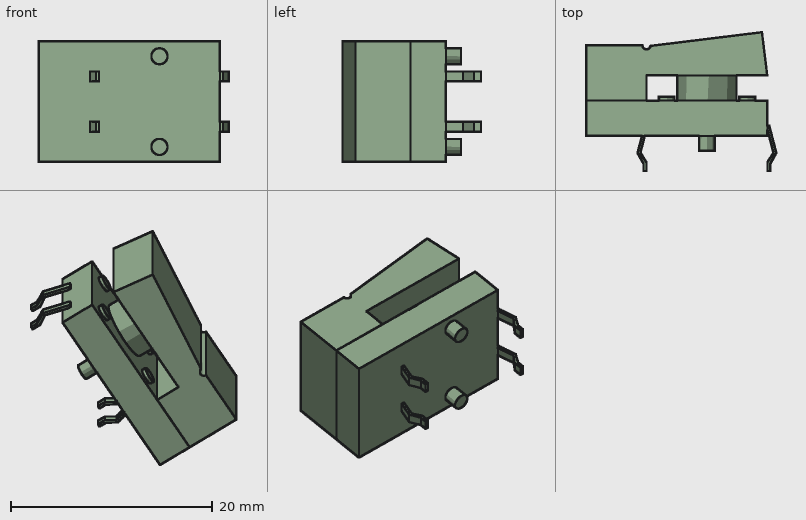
import cadquery as cq
import math


length = 18.0
width = 12.0
base_thickness = 3.5
base_bottom = -base_thickness

hinge_length = 6.0
gap_height = 2.5
hinge_height = 5.5
lever_peak = 6.8
lever_angle = math.radians(7.0)
groove_radius = 0.4

plunger_diameter = 5.9
plunger_x = (hinge_length + length) / 2
rivet_diameter = 1.6
rivet_height = 0.4
rivet_offset = 4.0
peg_diameter = 1.6
peg_length = 1.5
peg_offset_z = 4.5

terminal_width = 1.0
terminal_thickness = 0.3
terminal_offset_x = (length - hinge_length) / 2
terminal_offset_z = 2.5
terminal_reach = 3.5
terminal_bulge = 0.9
terminal_root_height = 1.0
terminal_root_inset = 0.1
knee_depth = 1.7
foot_bend_depth = 2.7
foot_bend_shift = 0.08


def side_cylinder(x, z, start_y, diameter, extent):
    """Cylinder along Y, from start_y over a signed extent."""
    direction = cq.Vector(0, math.copysign(1, extent), 0)
    return cq.Workplane(
        cq.Solid.makeCylinder(diameter / 2, abs(extent), cq.Vector(x, start_y, z), direction)
    )


def make_terminal(side, z):
    """Bent strip on one side (+1 or -1) of the plunger axis, centred at z."""
    foot_inner = terminal_offset_x
    foot_outer = foot_inner + terminal_thickness
    knee_outer = foot_inner + terminal_bulge
    knee_inner = knee_outer - terminal_thickness
    root_inner = foot_inner - terminal_root_inset
    root_outer = root_inner + terminal_thickness
    outline = [
        (root_inner, terminal_root_height),
        (root_outer, terminal_root_height),
        (knee_outer, -knee_depth),
        (foot_outer, -foot_bend_depth - foot_bend_shift),
        (foot_outer, -terminal_reach),
        (foot_inner, -terminal_reach),
        (foot_inner, -foot_bend_depth + foot_bend_shift),
        (knee_inner, -knee_depth),
    ]
    points = [(plunger_x + side * u, base_bottom + v) for u, v in outline]
    return (
        cq.Workplane("XY", origin=(0, 0, z - terminal_width / 2))
        .polyline(points)
        .close()
        .extrude(terminal_width)
    )


def make_base():
    """Base slab with plunger, rivets, locating pegs and terminals."""
    base = cq.Workplane("XY").box(length, base_thickness, width, centered=(False, False, True))
    base = base.translate((0, base_bottom, 0))
    base = base.union(side_cylinder(plunger_x, 0, 0, plunger_diameter, gap_height))
    for side_x in (-1, 1):
        for side_z in (-1, 1):
            rivet_x = plunger_x + side_x * rivet_offset
            base = base.union(
                side_cylinder(rivet_x, side_z * rivet_offset, 0, rivet_diameter, rivet_height)
            )
            base = base.union(make_terminal(side_x, side_z * terminal_offset_z))
    for side_z in (-1, 1):
        base = base.union(
            side_cylinder(plunger_x, side_z * peg_offset_z, base_bottom, peg_diameter, -peg_length)
        )
    return base


def make_lever():
    """Hinge block and tilted lever arm, with a round groove at the bend."""
    peak_x = length - (lever_peak - gap_height) * math.tan(lever_angle)
    slope_start = lever_peak - (peak_x - hinge_length) * math.tan(lever_angle)
    outline = [
        (0, 0),
        (hinge_length, 0),
        (hinge_length, gap_height),
        (length, gap_height),
        (peak_x, lever_peak),
        (hinge_length, slope_start),
        (hinge_length, hinge_height),
        (0, hinge_height),
    ]
    lever = (
        cq.Workplane("XY", origin=(0, 0, -width / 2)).polyline(outline).close().extrude(width)
    )
    groove = (
        cq.Workplane("XY", origin=(0, 0, -width / 2))
        .center(hinge_length, hinge_height)
        .circle(groove_radius)
        .extrude(width)
    )
    return lever.cut(groove)


base = make_base()
lever = make_lever()

result = cq.Compound.makeCompound([base.val(), lever.val()])